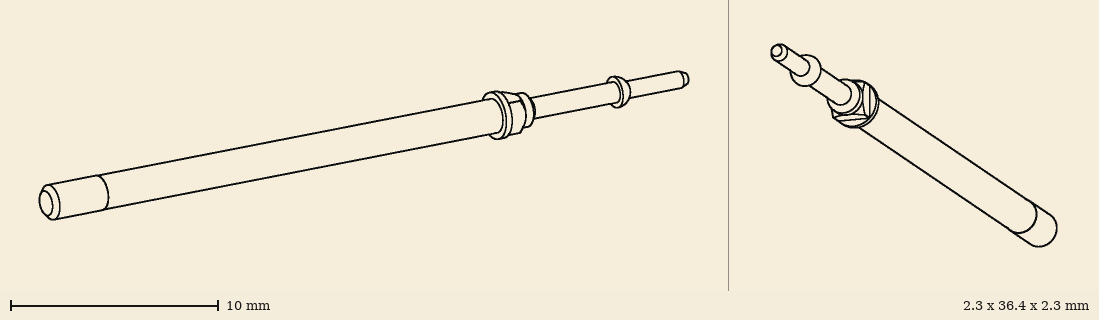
import cadquery as cq

length = 36.4
flange_diameter = 2.3

tip_diameter = 0.85
collar_diameter = 1.53
neck_diameter = 1.02
body_diameter = 1.67
tail_diameter = 1.7
square_width = 1.65

collar_end = 4.05
neck_end = 8.88
square_start = 9.6
flange_start = 10.6

flange_thickness = 0.33
tail_length = 3.02
tip_chamfer_length = 0.35
tip_chamfer_depth = 0.15
shoulder_cone_length = 0.3
tail_chamfer = 0.25

collar_radius = collar_diameter / 2
shoulder_cone_depth = (body_diameter - neck_diameter) / 2
square_cone_size = (flange_diameter - body_diameter) / 2
square_length = flange_start - square_start
flange_end = flange_start + flange_thickness
tail_start = length - tail_length
tip_y = length / 2


def cylinder(start, end, diameter):
    """Cylinder on the Y axis between two distances from the tip."""
    base = cq.Workplane("XZ", origin=(0, tip_y - start, 0))
    return base.circle(diameter / 2).extrude(end - start)


def coned_cylinder(start, end, diameter, cone_length, cone_depth):
    """Cylinder that begins with a cone of the given axial length and radial depth."""
    radius = diameter / 2
    profile = (
        cq.Workplane("XY")
        .moveTo(0, tip_y - start)
        .lineTo(radius - cone_depth, tip_y - start)
        .lineTo(radius, tip_y - start - cone_length)
        .lineTo(radius, tip_y - end)
        .lineTo(0, tip_y - end)
        .close()
    )
    return profile.revolve(360, (0, 0, 0), (0, 1, 0))


def domed_collar():
    """Half ball facing the tip, with its flat side at the end of the collar."""
    flat_y = tip_y - collar_end
    profile = (
        cq.Workplane("XY")
        .moveTo(0, flat_y)
        .lineTo(collar_radius, flat_y)
        .radiusArc((0, flat_y + collar_radius), -collar_radius)
        .close()
    )
    return profile.revolve(360, (0, 0, 0), (0, 1, 0))


def square_section():
    """Square whose leading corners are cut back by a 45 degree cone."""
    envelope = coned_cylinder(
        square_start, flange_start, flange_diameter, square_cone_size, square_cone_size
    )
    middle_y = tip_y - square_start - square_length / 2
    square = cq.Workplane("XY").box(square_width, square_length, square_width)
    return envelope.intersect(square.translate((0, middle_y, 0)))


tip = coned_cylinder(0, collar_end, tip_diameter, tip_chamfer_length, tip_chamfer_depth)
neck = cylinder(collar_end, neck_end, neck_diameter)
shoulder = coned_cylinder(
    neck_end, square_start, body_diameter, shoulder_cone_length, shoulder_cone_depth
)
flange = cylinder(flange_start, flange_end, flange_diameter)
body = cylinder(flange_end, tail_start, body_diameter)
tail = cylinder(tail_start, length, tail_diameter).faces("<Y").chamfer(tail_chamfer)

result = tip
for section in (domed_collar(), neck, shoulder, square_section(), flange, body, tail):
    result = result.union(section)